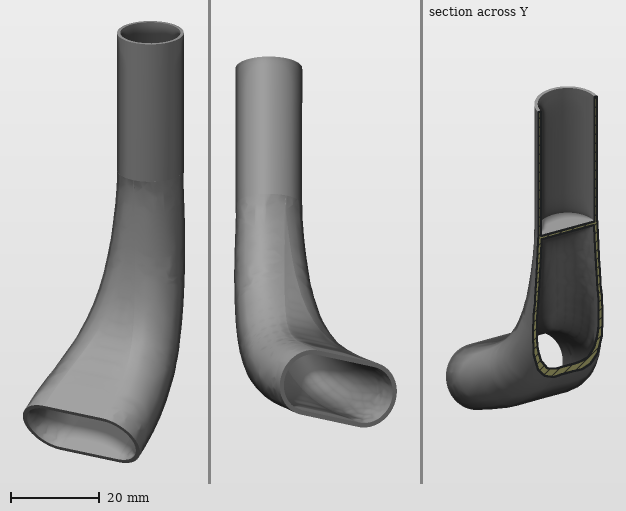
import cadquery as cq
import math

tube_diameter = 15.0
tube_bore = 13.5
tube_length = 33.0

mouth_width = 30.15
mouth_height = tube_diameter
bend_wall = 1.0
overall_height = 93.3
overall_depth = 41.35
mouth_angle = math.radians(60)

upper_handle = 40.8
lower_handle = 17.4
early_widening = 0.2
late_widening = 1.05
section_count = 9
seam_flat = 0.02

mouth_y = tube_diameter / 2 - overall_depth + mouth_height / 2 * math.cos(mouth_angle)
mouth_z = tube_length - overall_height + mouth_height / 2 * math.sin(mouth_angle)

spine_y = (0, 0, mouth_y + lower_handle * math.sin(mouth_angle), mouth_y)
spine_z = (0, -upper_handle, mouth_z + lower_handle * math.cos(mouth_angle), mouth_z)
widening = (0, early_widening, late_widening, 1)


def bezier(controls, t):
    """Value of a cubic Bezier curve at t."""
    a, b, c, d = controls
    s = 1 - t
    return a * s**3 + 3 * b * s**2 * t + 3 * c * s * t**2 + d * t**3


def bezier_slope(controls, t):
    """Derivative of a cubic Bezier curve at t."""
    a, b, c, d = controls
    s = 1 - t
    return 3 * ((b - a) * s**2 + 2 * (c - b) * s * t + (d - c) * t**2)


def oblong_section(t, inset):
    """Oblong outline, drawn in by inset, square to the bend's centre line at t."""
    height = mouth_height - 2 * inset
    mouth_flat = mouth_width - mouth_height
    flat = seam_flat + (mouth_flat - seam_flat) * bezier(widening, t)
    plane = cq.Plane(
        origin=(0, bezier(spine_y, t), bezier(spine_z, t)),
        xDir=(1, 0, 0),
        normal=(0, bezier_slope(spine_y, t), bezier_slope(spine_z, t)),
    )
    outline = (
        cq.Workplane(plane)
        .moveTo(-flat / 2, height / 2)
        .lineTo(flat / 2, height / 2)
        .threePointArc((flat / 2 + height / 2, 0), (flat / 2, -height / 2))
        .lineTo(-flat / 2, -height / 2)
        .threePointArc((-flat / 2 - height / 2, 0), (-flat / 2, height / 2))
        .close()
    )
    return outline.val()


def bend(inset):
    """Solid that turns and widens from the round tube to the mouth."""
    sections = [oblong_section(i / (section_count - 1), inset) for i in range(section_count)]
    return cq.Workplane(cq.Solid.makeLoft(sections))


tube = cq.Workplane().circle(tube_diameter / 2).circle(tube_bore / 2).extrude(tube_length)

end_wall = cq.Workplane().circle(tube_diameter).extrude(-bend_wall)
hollow = bend(bend_wall).cut(end_wall)

result = tube.union(bend(0).cut(hollow))